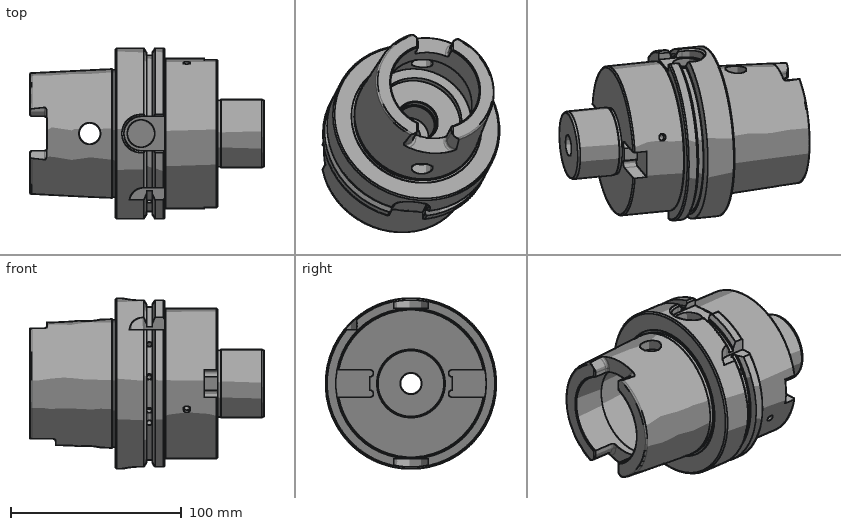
import cadquery as cq
import math


SHANK_LENGTH = 50.0
SHANK_TIP_RADIUS = 35.4
SHANK_BASE_RADIUS = 37.8
SHANK_TIP_ROUND = 1.0
RELIEF_WIDTH = 2.0
RELIEF_DEPTH = 0.4
FACE_RECESS_RADIUS = 39.0
FACE_RECESS_DEPTH = 0.5

FLANGE_RADIUS = 50.0
FLANGE_WIDTH = 29.0
FLANGE_CHAMFER = 0.9
GROOVE_CENTRE_X = 19.9
GROOVE_MOUTH_WIDTH = 6.6
GROOVE_FLOOR_WIDTH = 3.2
GROOVE_FLANK_RADIUS = 47.2
GROOVE_FLOOR_RADIUS = 45.9

BODY_RADIUS = 44.0
BODY_END_X = 60.0
BODY_CHAMFER = 0.9
BODY_ROOT_CHAMFER = 0.6
SPIGOT_RADIUS = 20.0
SPIGOT_LENGTH = 27.0
SPIGOT_CHAMFER_LENGTH = 1.4
SPIGOT_CHAMFER_DEPTH = 0.7
NECK_WIDTH = 1.9
NECK_DEPTH = 0.4

MOUTH_RADIUS = 26.5
MOUTH_CHAMFER = 0.6
MOUTH_DEPTH = 20.0
UNDERCUT_RADIUS = 31.5
UNDERCUT_END_X = -6.0
CAVITY_FLOOR_RADIUS = 25.7
CAVITY_FLOOR_X = -2.0
TUBE_RECESS_RADIUS = 12.0
TUBE_RECESS_DEPTH = 4.0
TUBE_BORE_RADIUS = 11.1
TUBE_BORE_DEPTH = 20.0
TUBE_RECESS_CHAMFER = 0.4
THROUGH_HOLE_RADIUS = 6.15

TIP_SLOT_WIDTH = 20.0
TIP_SLOT_DEPTHS = {1: 10.0, -1: 15.0}
TIP_SLOT_ROUND = 5.0
TIP_SLOT_SHOULDER_Z = 32.4
TIP_SLOT_FLOOR_FILLET = 1.6
TIP_SLOT_CHAMFER = 0.9
ACCESS_HOLE_X = -15.0
ACCESS_HOLE_RADIUS = 6.2

KEYWAY_WIDTH = 20.0
KEYWAY_CENTRE_X = 15.0
KEYWAY_FLOOR_Z = 44.0
KEYWAY_CHAMFER = 1.2
CARRIER_RADIUS = 8.0
CARRIER_DEPTH = 5.0
NOTCH_FLOOR_Z = 31.5
NOTCH_WALL_Y = -31.7
NOTCH_END_RADIUS = 8.5
NOTCH_CENTRE_X = 16.6

END_SLOT_WIDTH = 16.0
END_SLOT_LENGTH = 8.0
END_SLOT_FLOOR_Y = 24.0
END_SLOT_RELIEF_RADIUS = 2.05

GROOVE_HOLE_ANGLES = (30.0, 5.0, -20.0, -30.0)
GROOVE_HOLE_RADIUS = 1.6
GROOVE_HOLE_DEPTH = 6.0
BODY_HOLE_X = 41.8
BODY_HOLE_ANGLES = (-20.0, 160.0)
BODY_HOLE_RADIUS = 2.0
BODY_HOLE_DEPTH = 4.0
DRILL_POINT_ANGLE = 118.0

CUT_MARGIN = 5.0
SELECT_MARGIN = 1.0


def revolve_about_x(points):
    """Solid of revolution about X from (x, radius) points."""
    return cq.Workplane("XY").polyline(points).close().revolve(360, (0, 0, 0), (1, 0, 0))


def turned_blank():
    relief_radius = SHANK_BASE_RADIUS - RELIEF_DEPTH
    groove_mouth = GROOVE_MOUTH_WIDTH / 2
    groove_floor = GROOVE_FLOOR_WIDTH / 2
    spigot_end_x = BODY_END_X + SPIGOT_LENGTH
    neck_radius = SPIGOT_RADIUS - NECK_DEPTH
    neck_end_x = BODY_END_X + NECK_WIDTH
    blank = revolve_about_x([
        (-SHANK_LENGTH, 0),
        (-SHANK_LENGTH, SHANK_TIP_RADIUS),
        (-RELIEF_WIDTH, SHANK_BASE_RADIUS),
        (RELIEF_DEPTH - RELIEF_WIDTH, relief_radius),
        (FACE_RECESS_DEPTH, relief_radius),
        (FACE_RECESS_DEPTH, FACE_RECESS_RADIUS),
        (0, FACE_RECESS_RADIUS),
        (0, FLANGE_RADIUS - FLANGE_CHAMFER),
        (FLANGE_CHAMFER, FLANGE_RADIUS),
        (GROOVE_CENTRE_X - groove_mouth, FLANGE_RADIUS),
        (GROOVE_CENTRE_X - groove_floor, GROOVE_FLANK_RADIUS),
        (GROOVE_CENTRE_X - groove_floor, GROOVE_FLOOR_RADIUS),
        (GROOVE_CENTRE_X + groove_floor, GROOVE_FLOOR_RADIUS),
        (GROOVE_CENTRE_X + groove_floor, GROOVE_FLANK_RADIUS),
        (GROOVE_CENTRE_X + groove_mouth, FLANGE_RADIUS),
        (FLANGE_WIDTH - FLANGE_CHAMFER, FLANGE_RADIUS),
        (FLANGE_WIDTH, FLANGE_RADIUS - FLANGE_CHAMFER),
        (FLANGE_WIDTH, BODY_RADIUS - BODY_ROOT_CHAMFER),
        (FLANGE_WIDTH + BODY_ROOT_CHAMFER, BODY_RADIUS),
        (BODY_END_X - BODY_CHAMFER, BODY_RADIUS),
        (BODY_END_X, BODY_RADIUS - BODY_CHAMFER),
        (BODY_END_X, neck_radius),
        (neck_end_x - NECK_DEPTH, neck_radius),
        (neck_end_x, SPIGOT_RADIUS),
        (spigot_end_x - SPIGOT_CHAMFER_LENGTH, SPIGOT_RADIUS),
        (spigot_end_x, SPIGOT_RADIUS - SPIGOT_CHAMFER_DEPTH),
        (spigot_end_x, 0),
    ])
    return blank.faces("<X").edges().fillet(SHANK_TIP_ROUND)


def axial_cavity():
    shoulder_x = MOUTH_DEPTH - SHANK_LENGTH
    return revolve_about_x([
        (-SHANK_LENGTH, 0),
        (-SHANK_LENGTH, MOUTH_RADIUS + MOUTH_CHAMFER),
        (MOUTH_CHAMFER - SHANK_LENGTH, MOUTH_RADIUS),
        (shoulder_x, MOUTH_RADIUS),
        (shoulder_x, UNDERCUT_RADIUS),
        (UNDERCUT_END_X, UNDERCUT_RADIUS),
        (UNDERCUT_END_X, CAVITY_FLOOR_RADIUS),
        (CAVITY_FLOOR_X, CAVITY_FLOOR_RADIUS),
        (CAVITY_FLOOR_X, TUBE_RECESS_RADIUS + TUBE_RECESS_CHAMFER),
        (CAVITY_FLOOR_X + TUBE_RECESS_CHAMFER, TUBE_RECESS_RADIUS),
        (CAVITY_FLOOR_X + TUBE_RECESS_DEPTH, TUBE_RECESS_RADIUS),
        (CAVITY_FLOOR_X + TUBE_RECESS_DEPTH, TUBE_BORE_RADIUS),
        (CAVITY_FLOOR_X + TUBE_BORE_DEPTH, TUBE_BORE_RADIUS),
        (CAVITY_FLOOR_X + TUBE_BORE_DEPTH, THROUGH_HOLE_RADIUS),
        (BODY_END_X + SPIGOT_LENGTH, THROUGH_HOLE_RADIUS),
        (BODY_END_X + SPIGOT_LENGTH, 0),
    ])


def tip_slot(side):
    """Slot through one side of the shank tip, flaring out over the rounded lug corners."""
    half_width = TIP_SLOT_WIDTH / 2
    shoulder_y = half_width + TIP_SLOT_ROUND
    flank_top_z = TIP_SLOT_SHOULDER_Z - TIP_SLOT_ROUND
    mid_offset = TIP_SLOT_ROUND * math.sqrt(0.5)
    mid_y = shoulder_y - mid_offset
    mid_z = flank_top_z + mid_offset
    outer_y = shoulder_y + CUT_MARGIN
    outer_z = SHANK_BASE_RADIUS + CUT_MARGIN
    inner_z = MOUTH_RADIUS / 2
    slot = (
        cq.Workplane("YZ", origin=(-SHANK_LENGTH, 0, 0))
        .moveTo(-half_width, inner_z * side)
        .lineTo(-half_width, flank_top_z * side)
        .threePointArc((-mid_y, mid_z * side), (-shoulder_y, TIP_SLOT_SHOULDER_Z * side))
        .lineTo(-outer_y, TIP_SLOT_SHOULDER_Z * side)
        .lineTo(-outer_y, outer_z * side)
        .lineTo(outer_y, outer_z * side)
        .lineTo(outer_y, TIP_SLOT_SHOULDER_Z * side)
        .lineTo(shoulder_y, TIP_SLOT_SHOULDER_Z * side)
        .threePointArc((mid_y, mid_z * side), (half_width, flank_top_z * side))
        .lineTo(half_width, inner_z * side)
        .close()
        .extrude(TIP_SLOT_DEPTHS[side])
    )
    reach = cq.selectors.BoxSelector(
        (-SHANK_LENGTH + SELECT_MARGIN, -shoulder_y, (inner_z + SELECT_MARGIN) * side),
        (0, shoulder_y, (TIP_SLOT_SHOULDER_Z + SELECT_MARGIN) * side),
    )
    slot = slot.faces(">X").edges(reach).fillet(TIP_SLOT_FLOOR_FILLET)
    chamfered_mouth = (
        cq.Workplane("XY", origin=(-SHANK_LENGTH, 0, inner_z * side))
        .polyline([
            (0, -half_width - TIP_SLOT_CHAMFER),
            (TIP_SLOT_CHAMFER, -half_width),
            (TIP_SLOT_CHAMFER, half_width),
            (0, half_width + TIP_SLOT_CHAMFER),
        ])
        .close()
        .extrude((mid_z - inner_z) * side)
    )
    return slot.union(chamfered_mouth)


def keyway(side):
    """Round-ended keyway with a flat floor and a broken rim, open towards +X.

    The rim is chamfered on a plain flange disc; what that disc has lost is the cutter.
    """
    height = FLANGE_RADIUS + CUT_MARGIN - KEYWAY_FLOOR_Z
    length = FLANGE_WIDTH - KEYWAY_CENTRE_X
    floor = cq.Workplane("XY", origin=(KEYWAY_CENTRE_X, 0, KEYWAY_FLOOR_Z * side))
    round_end = floor.circle(KEYWAY_WIDTH / 2).extrude(height * side)
    straight = floor.center(length / 2, 0).rect(length, KEYWAY_WIDTH).extrude(height * side)
    disc = cq.Workplane("YZ").circle(FLANGE_RADIUS).extrude(FLANGE_WIDTH)
    keyed_disc = disc.cut(round_end.union(straight))
    half_width = KEYWAY_WIDTH / 2
    rim_height = math.sqrt(FLANGE_RADIUS**2 - half_width**2)
    around_rim = cq.selectors.BoxSelector(
        (SELECT_MARGIN, -half_width - SELECT_MARGIN, (rim_height - SELECT_MARGIN) * side),
        (FLANGE_WIDTH - SELECT_MARGIN, half_width + SELECT_MARGIN, (FLANGE_RADIUS + SELECT_MARGIN) * side),
    )
    return disc.cut(keyed_disc.edges(around_rim).chamfer(KEYWAY_CHAMFER))


def carrier_pocket():
    floor_z = KEYWAY_FLOOR_Z - CARRIER_DEPTH
    floor = cq.Workplane("XY", origin=(KEYWAY_CENTRE_X, 0, floor_z))
    return floor.circle(CARRIER_RADIUS).extrude(CARRIER_DEPTH)


def index_notch():
    """Corner notch milled parallel to Z, with a rounded end and a flat floor."""
    outer = FLANGE_RADIUS + CUT_MARGIN
    arc_centre_y = NOTCH_WALL_Y - NOTCH_END_RADIUS
    mid_offset = NOTCH_END_RADIUS * math.sqrt(0.5)
    end_x = NOTCH_CENTRE_X - NOTCH_END_RADIUS
    return (
        cq.Workplane("XY", origin=(0, 0, NOTCH_FLOOR_Z))
        .moveTo(FLANGE_WIDTH, NOTCH_WALL_Y)
        .lineTo(NOTCH_CENTRE_X, NOTCH_WALL_Y)
        .threePointArc((NOTCH_CENTRE_X - mid_offset, arc_centre_y + mid_offset), (end_x, arc_centre_y))
        .lineTo(end_x, -outer)
        .lineTo(FLANGE_WIDTH, -outer)
        .close()
        .extrude(outer - NOTCH_FLOOR_Z)
    )


def end_slot(side):
    """Driving slot in the body end, with a round relief groove along each floor corner."""
    depth = BODY_RADIUS + CUT_MARGIN - END_SLOT_FLOOR_Y
    centre_x = BODY_END_X - END_SLOT_LENGTH / 2
    centre_y = (END_SLOT_FLOOR_Y + depth / 2) * side
    slot = cq.Workplane("XY", origin=(centre_x, centre_y, 0)).box(END_SLOT_LENGTH, depth, END_SLOT_WIDTH)
    relief_z = END_SLOT_WIDTH / 2 - END_SLOT_RELIEF_RADIUS
    reliefs = (
        cq.Workplane("YZ", origin=(BODY_END_X - END_SLOT_LENGTH, END_SLOT_FLOOR_Y * side, 0))
        .pushPoints([(0, relief_z), (0, -relief_z)])
        .circle(END_SLOT_RELIEF_RADIUS)
        .extrude(END_SLOT_LENGTH)
    )
    return slot.union(reliefs)


def radial_hole(x, angle, surface_radius, radius, depth):
    """Drilled blind hole with a conical bottom, pointing at the axis."""
    point_depth = radius / math.tan(math.radians(DRILL_POINT_ANGLE / 2))
    bottom_y = depth - surface_radius
    hole = (
        cq.Workplane("XY")
        .polyline([
            (0, -FLANGE_RADIUS),
            (radius, -FLANGE_RADIUS),
            (radius, bottom_y),
            (0, bottom_y + point_depth),
        ])
        .close()
        .revolve(360, (0, 0, 0), (0, 1, 0))
    )
    return hole.rotate((0, 0, 0), (1, 0, 0), -angle).translate((x, 0, 0))


def access_hole():
    length = 2 * FLANGE_RADIUS
    hole = cq.Workplane("XY", origin=(ACCESS_HOLE_X, 0, -length / 2))
    return hole.circle(ACCESS_HOLE_RADIUS).extrude(length)


result = turned_blank()
for z_side in (1, -1):
    result = result.cut(keyway(z_side))
result = result.cut(axial_cavity())
for z_side in (1, -1):
    result = result.cut(tip_slot(z_side))
for y_side in (1, -1):
    result = result.cut(end_slot(y_side))
result = result.cut(access_hole())
result = result.cut(carrier_pocket())
result = result.cut(index_notch())
for hole_angle in GROOVE_HOLE_ANGLES:
    result = result.cut(radial_hole(
        GROOVE_CENTRE_X, hole_angle, GROOVE_FLOOR_RADIUS, GROOVE_HOLE_RADIUS, GROOVE_HOLE_DEPTH
    ))
for hole_angle in BODY_HOLE_ANGLES:
    result = result.cut(radial_hole(
        BODY_HOLE_X, hole_angle, BODY_RADIUS, BODY_HOLE_RADIUS, BODY_HOLE_DEPTH
    ))